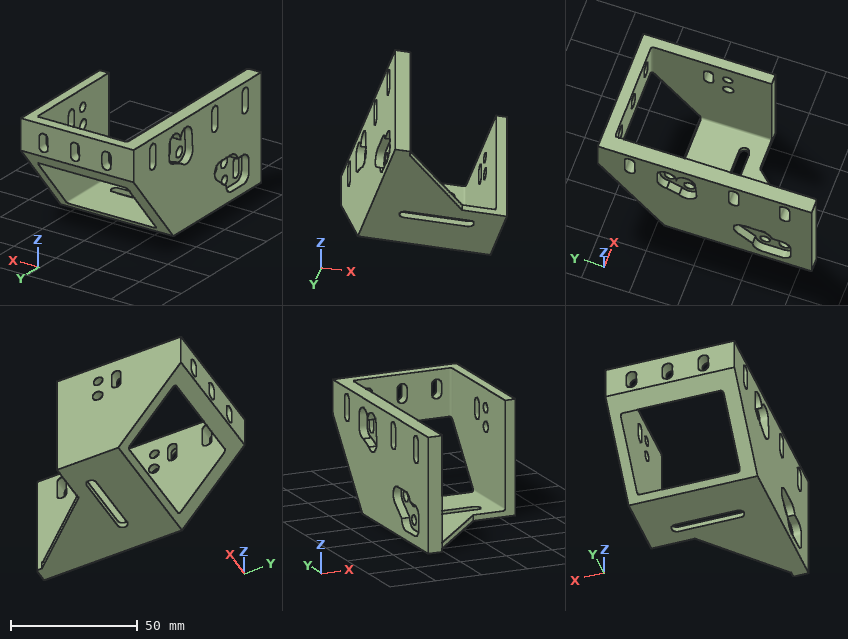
import cadquery as cq
import math

WIDTH = 54.0
HEIGHT = 48.0
LEFT_WALL_LENGTH = 89.75
RIGHT_WALL_LENGTH = 55.45
LEFT_WALL = 6.5
RIGHT_WALL = 4.5
BACK_WALL = 5.0
FLOOR = 2.5
CORNER_RADIUS = 1.0

BACK_EDGE_HEIGHT = 34.0
SLOPE_RUN = 28.0

FLOOR_SLOPE_X = 35.7
FLOOR_SLOPE_SETBACK = 2.5

SLOT_WIDTH = 4.2
BACK_SLOT_X = (13.0, 28.05, 43.1)
BACK_SLOT_SPAN = 3.8
SIDE_SLOT_BACK_DISTANCE = (13.5, 57.1, 78.4)
SIDE_SLOT_SPAN = 7.0
WALL_SLOT_Z = HEIGHT - 8.0
FLOOR_SLOT_X = 27.4
FLOOR_SLOT_BACK_DISTANCE = 47.1
FLOOR_SLOT_SPAN = 26.0

GRID = 8.0
HOLE = 4.0
STRETCH = 0.5
GROUP_SLOT_SPAN = 4.75
POCKET_RADIUS = 4.0
POCKET_DEPTH = 3.5

UPPER_ROUND = (-37.0, WALL_SLOT_Z)
UPPER_STRETCHED = (UPPER_ROUND[0], UPPER_ROUND[1] - GRID)
UPPER_STRETCHED_END = (UPPER_STRETCHED[0] - STRETCH, UPPER_STRETCHED[1] + STRETCH)
UPPER_SLOT_TOP = (UPPER_ROUND[0] + GRID, UPPER_ROUND[1])
UPPER_SLOT_BOTTOM = (UPPER_SLOT_TOP[0], UPPER_SLOT_TOP[1] - GROUP_SLOT_SPAN)

LOWER_ROUND = (-69.0, 8.0)
FRONT_STRETCHED = (LOWER_ROUND[0], LOWER_ROUND[1] + GRID)
FRONT_STRETCHED_END = (FRONT_STRETCHED[0] + STRETCH, FRONT_STRETCHED[1] - STRETCH)
REAR_STRETCHED = (FRONT_STRETCHED[0] + GRID, FRONT_STRETCHED[1])
REAR_STRETCHED_END = (REAR_STRETCHED[0] - STRETCH, REAR_STRETCHED[1] - STRETCH)
LOWER_SLOT_BOTTOM = (LOWER_ROUND[0] - GRID, LOWER_ROUND[1])
LOWER_SLOT_TOP = (LOWER_SLOT_BOTTOM[0], LOWER_SLOT_BOTTOM[1] + GROUP_SLOT_SPAN)


def side_slot(start, end, width, depth):
    """Slot cutter sunk from the left face (X = 0), between two end centres."""
    middle = ((start[0] + end[0]) / 2, (start[1] + end[1]) / 2)
    angle = math.degrees(math.atan2(end[1] - start[1], end[0] - start[0]))
    slot = cq.Workplane("YZ").center(*middle)
    return slot.slot2D(math.dist(start, end) + width, width, angle).extrude(depth)


def round_hole(centre, depth):
    return cq.Workplane("YZ").center(*centre).circle(HOLE / 2).extrude(depth)


def lower_rear_rim(centre):
    """Point of a pocket rim diagonally behind and below its centre."""
    offset = POCKET_RADIUS * math.sqrt(0.5)
    return (centre[0] + offset, centre[1] - offset)


def pocket(bands, core):
    """Pocket cutter: rounded bands of the pocket radius round a straight-sided core."""
    cutter = cq.Workplane("YZ").polyline(core).close().extrude(POCKET_DEPTH)
    for start, end in bands:
        cutter = cutter.union(side_slot(start, end, 2 * POCKET_RADIUS, POCKET_DEPTH))
    return cutter


def bracket_body():
    floor_outline = [
        (0, 0),
        (WIDTH, 0),
        (WIDTH, -RIGHT_WALL_LENGTH),
        (FLOOR_SLOPE_X, -RIGHT_WALL_LENGTH),
        (LEFT_WALL, -LEFT_WALL_LENGTH + FLOOR_SLOPE_SETBACK),
        (LEFT_WALL, -LEFT_WALL_LENGTH),
        (0, -LEFT_WALL_LENGTH),
    ]
    body = cq.Workplane("XY").polyline(floor_outline).close().extrude(HEIGHT)
    front_corner = cq.selectors.NearestToPointSelector((LEFT_WALL, -LEFT_WALL_LENGTH, HEIGHT / 2))
    body = body.edges(front_corner).fillet(CORNER_RADIUS)

    inner_width = WIDTH - LEFT_WALL - RIGHT_WALL
    cavity = (
        cq.Workplane("XY", origin=(LEFT_WALL, -BACK_WALL, FLOOR))
        .rect(inner_width, -LEFT_WALL_LENGTH, centered=False)
        .extrude(HEIGHT)
        .edges("|Z and >Y or |Y and <Z")
        .fillet(CORNER_RADIUS)
    )
    slope_cut = (
        cq.Workplane("YZ")
        .polyline([(0, 0), (-SLOPE_RUN, 0), (0, BACK_EDGE_HEIGHT)])
        .close()
        .extrude(WIDTH)
    )
    return body.cut(cavity).cut(slope_cut)


def cut_mounting_slots(body):
    for x in BACK_SLOT_X:
        slot = cq.Workplane("XZ").center(x, WALL_SLOT_Z)
        body = body.cut(slot.slot2D(BACK_SLOT_SPAN + SLOT_WIDTH, SLOT_WIDTH, 90).extrude(BACK_WALL))
    for distance in SIDE_SLOT_BACK_DISTANCE:
        bottom = (-distance, WALL_SLOT_Z - SIDE_SLOT_SPAN / 2)
        top = (-distance, WALL_SLOT_Z + SIDE_SLOT_SPAN / 2)
        body = body.cut(side_slot(bottom, top, SLOT_WIDTH, LEFT_WALL))
    floor_slot = cq.Workplane("XY").center(FLOOR_SLOT_X, -FLOOR_SLOT_BACK_DISTANCE)
    return body.cut(floor_slot.slot2D(FLOOR_SLOT_SPAN + SLOT_WIDTH, SLOT_WIDTH).extrude(FLOOR))


def upper_pocket():
    """The rims of the slot and the round hole touch in a cusp at the top.

    A sloped side joins the lowest point of the slot's rim to the stretched hole's rim.
    """
    slope_start = (UPPER_SLOT_BOTTOM[0], UPPER_SLOT_BOTTOM[1] - POCKET_RADIUS)
    slope_end = lower_rear_rim(UPPER_STRETCHED)
    bands = [
        (UPPER_SLOT_BOTTOM, UPPER_SLOT_TOP),
        (UPPER_ROUND, UPPER_STRETCHED_END),
        (UPPER_STRETCHED_END, UPPER_STRETCHED),
    ]
    core = [UPPER_SLOT_TOP, slope_start, slope_end, UPPER_STRETCHED, UPPER_ROUND]
    return pocket(bands, core)


def lower_pocket():
    """A sloped side joins the rear edge of the round hole's rim to the rear hole's diagonal flat."""
    slope_start = (LOWER_ROUND[0] + POCKET_RADIUS, LOWER_ROUND[1])
    flat_start = lower_rear_rim(REAR_STRETCHED_END)
    flat_end = lower_rear_rim(REAR_STRETCHED)
    step = (LOWER_ROUND[0], LOWER_SLOT_TOP[1])
    bands = [
        (REAR_STRETCHED, FRONT_STRETCHED),
        (step, LOWER_SLOT_TOP),
        (LOWER_SLOT_TOP, LOWER_SLOT_BOTTOM),
        (LOWER_SLOT_BOTTOM, LOWER_ROUND),
    ]
    core = [slope_start, flat_start, flat_end, REAR_STRETCHED, FRONT_STRETCHED, LOWER_ROUND]
    return pocket(bands, core)


def cut_upper_group(body):
    """The upper holes pass through both side walls."""
    body = body.cut(upper_pocket())
    body = body.cut(round_hole(UPPER_ROUND, WIDTH))
    body = body.cut(side_slot(UPPER_SLOT_BOTTOM, UPPER_SLOT_TOP, HOLE, WIDTH))
    return body.cut(side_slot(UPPER_STRETCHED, UPPER_STRETCHED_END, HOLE, WIDTH))


def cut_lower_group(body):
    """The lower holes lie ahead of the right wall and pass through the left wall only."""
    body = body.cut(lower_pocket())
    body = body.cut(round_hole(LOWER_ROUND, LEFT_WALL))
    body = body.cut(side_slot(LOWER_SLOT_BOTTOM, LOWER_SLOT_TOP, HOLE, LEFT_WALL))
    body = body.cut(side_slot(FRONT_STRETCHED_END, FRONT_STRETCHED, HOLE, LEFT_WALL))
    return body.cut(side_slot(REAR_STRETCHED_END, REAR_STRETCHED, HOLE, LEFT_WALL))


result = bracket_body()
result = cut_mounting_slots(result)
result = cut_upper_group(result)
result = cut_lower_group(result)